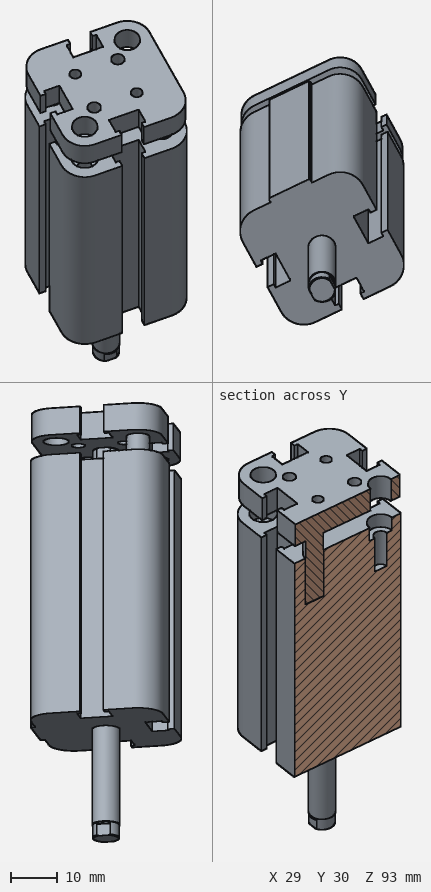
import cadquery as cq

body_width = 29.0
body_height = 58.0
body_corner_radius = 5.5
plate_width = 28.5
plate_thickness = 6.0
plate_gap = 4.5
plate_corner_radius = body_corner_radius - (body_width - plate_width) / 2
plate_bottom = body_height + plate_gap

slot_mouth_width = 5.2
slot_inner_width = 7.0
slot_floor = 9.4
slot_lip_inner = 13.0
slot_overcut = 1.0
slot_angles = (0, 180, 270)

strip_width = 10.0
strip_height = 1.0
strip_chamfer = 0.3

rod_diameter = 6.0
rod_overhang = 24.5
neck_diameter = 5.8
neck_length = 3.0
neck_step = (rod_diameter - neck_diameter) / 2
flat_width = 5.0
flat_length = 2.6
rod_end_chamfer = 0.2

guide_diameter = 5.0
guide_depth = 12.5
guide_offset = 9.0
guide_points = [(-guide_offset, -guide_offset), (guide_offset, guide_offset)]

screw_points = [(-guide_offset, guide_offset), (guide_offset, -guide_offset)]
screw_diameter = 3.2
screw_hole_depth = guide_depth
screw_head_diameter = 6.0
screw_head_depth = 3.5
screw_access_diameter = 5.5

plate_hole_offset = 5.0
dowel_diameter = 2.9
thread_diameter = 2.5
dowel_points = [(-plate_hole_offset, plate_hole_offset), (plate_hole_offset, -plate_hole_offset)]
thread_points = [(-plate_hole_offset, -plate_hole_offset), (plate_hole_offset, plate_hole_offset)]


def cylinders(points, diameter, bottom, height):
    """Upright cylinders of one diameter at the given XY points."""
    return cq.Workplane(origin=(0, 0, bottom)).pushPoints(points).circle(diameter / 2).extrude(height)


def slot_cutter(bottom, height):
    """T-shaped prism opening toward +X."""
    mouth_half = slot_mouth_width / 2
    inner_half = slot_inner_width / 2
    outside = body_width / 2 + slot_overcut
    return (
        cq.Workplane(origin=(0, 0, bottom))
        .polyline([
            (slot_floor, -inner_half),
            (slot_lip_inner, -inner_half),
            (slot_lip_inner, -mouth_half),
            (outside, -mouth_half),
            (outside, mouth_half),
            (slot_lip_inner, mouth_half),
            (slot_lip_inner, inner_half),
            (slot_floor, inner_half),
        ])
        .close()
        .extrude(height)
    )


def slotted_block(width, corner_radius, bottom, height):
    """Square block with round corners and the three T-slots."""
    block = (
        cq.Workplane(origin=(0, 0, bottom))
        .rect(width, width)
        .extrude(height)
        .edges("|Z")
        .fillet(corner_radius)
    )
    for angle in slot_angles:
        block = block.cut(slot_cutter(bottom, height).rotate((0, 0, 0), (0, 0, 1), angle))
    return block


def make_cylinder_body():
    """Slotted housing with the raised strip, rod bores and counterbored screw holes."""
    body = slotted_block(body_width, body_corner_radius, 0, body_height)
    strip = (
        cq.Workplane()
        .center(0, body_width / 2)
        .rect(strip_width, 2 * strip_height)
        .extrude(body_height)
        .edges("|Z and >Y")
        .chamfer(strip_chamfer)
    )
    body = body.union(strip)

    body = body.cut(cylinders([(0, 0)], rod_diameter, 0, body_height))
    body = body.cut(cylinders(guide_points, guide_diameter, body_height - guide_depth, guide_depth))
    body = body.cut(
        cylinders(screw_points, screw_diameter, body_height - screw_hole_depth, screw_hole_depth)
    )
    body = body.cut(
        cylinders(screw_points, screw_head_diameter, body_height - screw_head_depth, screw_head_depth)
    )
    return body


def make_piston_rod():
    """Rod with a slightly thinner neck at each end, and a pair of flats facing -X and +X on each neck."""
    rod_bottom = -rod_overhang
    rod_length = rod_overhang + plate_bottom
    shaft_length = rod_length - 2 * neck_length
    rod = cylinders([(0, 0)], neck_diameter, rod_bottom, rod_length)
    rod = rod.faces("<Z or >Z").chamfer(rod_end_chamfer)
    shaft = cylinders([(0, 0)], rod_diameter, rod_bottom + neck_length, shaft_length)
    rod = rod.union(shaft.faces("<Z or >Z").chamfer(neck_step))

    flat_depth = (rod_diameter - flat_width) / 2
    flat_centre = (flat_width + flat_depth) / 2
    for bottom in (rod_bottom, plate_bottom - flat_length):
        flats = (
            cq.Workplane(origin=(0, 0, bottom))
            .pushPoints([(-flat_centre, 0), (flat_centre, 0)])
            .rect(flat_depth, rod_diameter)
            .extrude(flat_length)
        )
        rod = rod.cut(flats)
    return rod


def make_plunger():
    """Plate, guide rods and piston rod moving as one piece."""
    plate = slotted_block(plate_width, plate_corner_radius, plate_bottom, plate_thickness)
    for points, diameter in (
        (screw_points, screw_access_diameter),
        (dowel_points, dowel_diameter),
        (thread_points, thread_diameter),
    ):
        plate = plate.cut(cylinders(points, diameter, plate_bottom, plate_thickness))
    guides = cylinders(guide_points, guide_diameter, body_height - guide_depth, guide_depth + plate_gap)
    return plate.union(guides).union(make_piston_rod())


cylinder_body = make_cylinder_body()
plunger = make_plunger()

result = cq.Compound.makeCompound([cylinder_body.val(), plunger.val()])